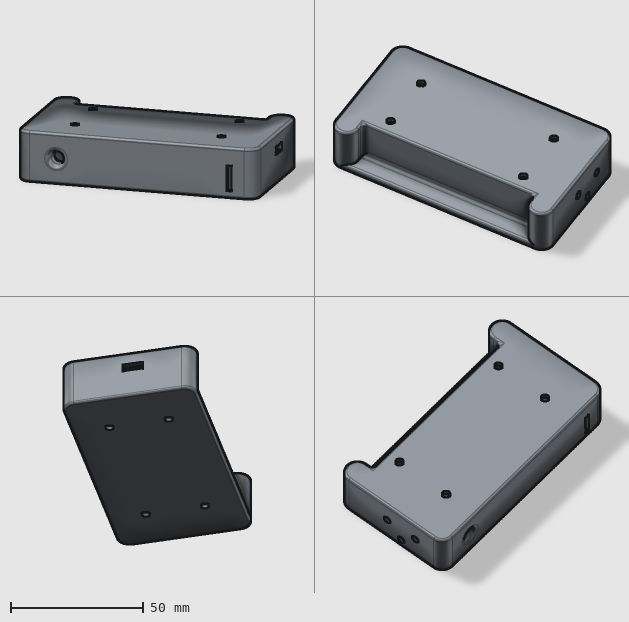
import cadquery as cq

LENGTH = 95.0
WIDTH = 52.0
HEIGHT = 20.0
WALL = 2.0
CORNER_RADIUS = 5.0
EDGE_RADIUS = 1.0

ARM_WIDTH = 2 * CORNER_RADIUS
NOTCH_REACH = 8.5
LEDGE_THICKNESS = 3.0
NOTCH_FLOOR_RADIUS = 2.0
NOTCH_CORNER_RADIUS = 2.0

SCREW_DIAMETER = 3.1
SCREW_SPACING_X = 57.95
SCREW_SPACING_Y = 23.0

CABLE_X = -31.9
CABLE_DIAMETER = 5.0
FLARE_RADIUS = 2.0
SLEEVE_LENGTH = 6.0
SLEEVE_DIAMETER = CABLE_DIAMETER + 2 * WALL

SLOT_X = 36.5
SLOT_Z = -2.1
SLOT_WIDTH = 2.0
SLOT_HEIGHT = 10.0

INDICATOR_DIAMETER = 3.1
INDICATOR_PITCH_Y = 6.9
INDICATOR_MIDDLE_Y = -4.9
INDICATOR_UPPER_Z = 0.9
INDICATOR_LOWER_Z = -5.9

WINDOW_WIDTH = 8.0
WINDOW_HEIGHT = 3.0
WINDOW_SILL_Z = 1.7
WINDOW_CHAMFER = 0.6

RIGHT = LENGTH / 2
BACK = WIDTH / 2
TOP = HEIGHT / 2
FRONT = -BACK
BOTTOM = -TOP
ARM_INNER_X = RIGHT - ARM_WIDTH
ARM_TIP_Y = BACK - CORNER_RADIUS
NOTCH_WALL_Y = BACK - NOTCH_REACH
LEDGE_TOP = BOTTOM + LEDGE_THICKNESS
REAR_INDICATOR_Y = INDICATOR_MIDDLE_Y + INDICATOR_PITCH_Y


def box_between(x_range, y_range, z_range):
    """Box that fills the given limits."""
    sizes = [high - low for low, high in (x_range, y_range, z_range)]
    corner = (x_range[0], y_range[0], z_range[0])
    return cq.Workplane("XY").box(*sizes, centered=False).translate(corner)


def round_rims(solid):
    """Round the top and bottom rims."""
    return solid.faces("<Z or >Z").edges().fillet(EDGE_RADIUS)


def armed_body():
    """Full-height body with an arm at each back corner."""
    corner = CORNER_RADIUS
    outline = (
        cq.Workplane("XY", origin=(0, 0, BOTTOM))
        .moveTo(-RIGHT, ARM_TIP_Y)
        .lineTo(-RIGHT, FRONT + corner)
        .radiusArc((-RIGHT + corner, FRONT), -corner)
        .lineTo(RIGHT - corner, FRONT)
        .radiusArc((RIGHT, FRONT + corner), -corner)
        .lineTo(RIGHT, ARM_TIP_Y)
        .threePointArc((RIGHT - corner, BACK), (ARM_INNER_X, ARM_TIP_Y))
        .lineTo(ARM_INNER_X, NOTCH_WALL_Y)
        .lineTo(-ARM_INNER_X, NOTCH_WALL_Y)
        .lineTo(-ARM_INNER_X, ARM_TIP_Y)
        .threePointArc((-RIGHT + corner, BACK), (-RIGHT, ARM_TIP_Y))
        .close()
    )
    body = round_rims(outline.extrude(HEIGHT))
    notch_corners = cq.selectors.BoxSelector(
        (-RIGHT, NOTCH_WALL_Y - EDGE_RADIUS, BOTTOM),
        (RIGHT, NOTCH_WALL_Y + EDGE_RADIUS, TOP),
    )
    return body.edges("|Z").edges(notch_corners).fillet(NOTCH_CORNER_RADIUS)


def base_plate():
    """Plate under the whole case; its back strip is the ledge that floors the notch."""
    plate = box_between((-RIGHT, RIGHT), (FRONT, BACK), (BOTTOM, LEDGE_TOP))
    return round_rims(plate.edges("|Z").fillet(CORNER_RADIUS))


def notch_floor_fillet():
    """Concave blend between the ledge and the notch wall."""
    radius = NOTCH_FLOOR_RADIUS
    return (
        cq.Workplane("YZ", origin=(-ARM_INNER_X, NOTCH_WALL_Y, LEDGE_TOP))
        .lineTo(radius, 0)
        .radiusArc((0, radius), radius)
        .close()
        .extrude(2 * ARM_INNER_X)
    )


def cavity():
    """Room inside the walls, ending in front of the notch."""
    room = box_between(
        (-RIGHT + WALL, RIGHT - WALL),
        (FRONT + WALL, NOTCH_WALL_Y - WALL),
        (BOTTOM + WALL, TOP - WALL),
    )
    return room.edges("|Z and <Y").fillet(CORNER_RADIUS - WALL)


def cable_sleeve():
    return (
        cq.Workplane("XZ", origin=(CABLE_X, FRONT + WALL, 0))
        .circle(SLEEVE_DIAMETER / 2)
        .extrude(WALL - SLEEVE_LENGTH)
    )


def cable_hole():
    """Bore whose mouth flares out to meet the front face."""
    bore = CABLE_DIAMETER / 2
    return (
        cq.Workplane("XY", origin=(CABLE_X, FRONT, 0))
        .lineTo(bore + FLARE_RADIUS, 0)
        .radiusArc((bore, FLARE_RADIUS), FLARE_RADIUS)
        .lineTo(bore, SLEEVE_LENGTH)
        .lineTo(0, SLEEVE_LENGTH)
        .close()
        .revolve(360, (0, 0, 0), (0, 1, 0))
    )


def slot():
    centre = (SLOT_X, FRONT + WALL / 2, SLOT_Z)
    return cq.Workplane("XY", origin=centre).box(SLOT_WIDTH, WALL, SLOT_HEIGHT)


def screw_holes():
    return (
        cq.Workplane("XY", origin=(0, 0, BOTTOM))
        .rect(SCREW_SPACING_X, SCREW_SPACING_Y, forConstruction=True)
        .vertices()
        .circle(SCREW_DIAMETER / 2)
        .extrude(HEIGHT)
    )


def indicator_holes():
    centres = [
        (INDICATOR_MIDDLE_Y - INDICATOR_PITCH_Y, INDICATOR_UPPER_Z),
        (INDICATOR_MIDDLE_Y, INDICATOR_LOWER_Z),
        (REAR_INDICATOR_Y, INDICATOR_UPPER_Z),
    ]
    return (
        cq.Workplane("YZ", origin=(-RIGHT, 0, 0))
        .pushPoints(centres)
        .circle(INDICATOR_DIAMETER / 2)
        .extrude(WALL)
    )


def window():
    """Opening in the right wall with its inner sill edge chamfered."""
    inner_x = RIGHT - WALL
    sill = WINDOW_SILL_Z
    return (
        cq.Workplane("XZ", origin=(0, REAR_INDICATOR_Y + WINDOW_WIDTH / 2, 0))
        .moveTo(inner_x, sill - WINDOW_CHAMFER)
        .lineTo(inner_x + WINDOW_CHAMFER, sill)
        .lineTo(RIGHT, sill)
        .lineTo(RIGHT, sill + WINDOW_HEIGHT)
        .lineTo(inner_x, sill + WINDOW_HEIGHT)
        .close()
        .extrude(WINDOW_WIDTH)
    )


case = armed_body().union(base_plate()).union(notch_floor_fillet())
case = case.cut(cavity()).union(cable_sleeve())
for opening in (cable_hole(), slot(), screw_holes(), indicator_holes(), window()):
    case = case.cut(opening)
result = case